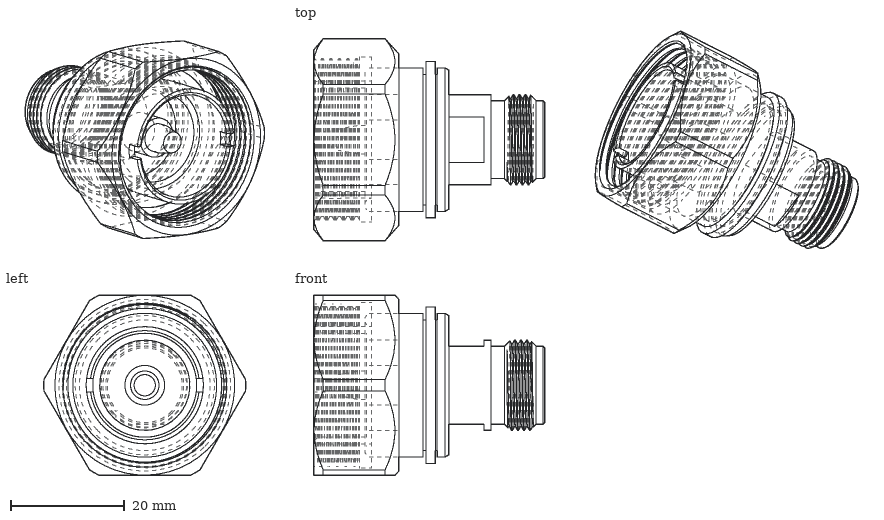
import cadquery as cq
import math


NUT_LENGTH = 15.0
NUT_ACROSS_FLATS = 31.75
NUT_CORNER_DIA = 35.55
NUT_FRONT_DIA = 31.6
NUT_FRONT_CHAMFER = 1.65
NUT_REAR_DIA = 30.2
NUT_REAR_CHAMFER = 2.45

NUT_THREAD_PITCH = 1.5
NUT_THREAD_MINOR_DIA = 27.05
NUT_THREAD_MAJOR_DIA = 28.6
NUT_THREAD_ROOT_FLAT = 0.2
NUT_GROOVE_START = -1.85
NUT_ENTRY_DIA = 28.85
NUT_ENTRY_DEPTH = 0.8
NUT_RELIEF_DIA = 29.05
NUT_RELIEF_START = 8.1
NUT_FLOOR = 10.15

BARREL_DIA = 25.3
BARREL_END = 23.77
BARREL_REAR_DIA = 24.5
BARREL_REAR_CHAMFER = 0.7
RING_GROOVE_DIA = 23.0
RING_GROOVE_START = 19.22
RING_GROOVE_END = 21.7
RING_DIA = 27.55
RING_START = 19.7
RING_END = 21.38

SLEEVE_DIA = 20.6
SLEEVE_FRONT = 0.3
SLEEVE_BORE_DIA = 18.3
SLEEVE_LIP_DIA = 19.22
SLEEVE_BORE_END = 9.25
SLOT_WIDTH = 2.3
SLOT_DEPTH = 2.45
CAVITY_DIA = 15.85
CAVITY_END = 15.0

PIN_TIP = 4.35
PIN_TIP_DIA = 3.75
PIN_DIA = 5.0
PIN_TAPER_END = 7.72
PIN_SHOULDER_DIA = 7.0
PIN_SHOULDER = SLEEVE_BORE_END

NECK_DIA = 15.9
NECK_END = 31.2
NECK_FLAT_END = 29.9
TAIL_DIA = 13.75
NECK_ACROSS_FLATS = TAIL_DIA
TAIL_END = 40.65
TAIL_END_CHAMFER = 0.3

TAIL_THREAD_PITCH = 1.05
TAIL_THREAD_DIA = NECK_DIA
TAIL_THREAD_ROOT_DIA = 14.7
TAIL_THREAD_CREST_FLAT = 0.15
TAIL_THREAD_START = 33.53
TAIL_THREAD_END = 39.15
TAIL_GROOVE_START = 33.3

THREAD_HALF_ANGLE = math.radians(30)
CUT_MARGIN = 0.1


def revolve_profile(points):
    """Revolve a closed (x, radius) outline about the X axis."""
    return cq.Workplane("XY").polyline(points).close().revolve(360, (0, 0), (1, 0))


def helical_cutter(root_dia, mouth_dia, root_width, pitch, start, end):
    """Right-hand helical ridge along X, used to cut a V-shaped thread groove."""
    root_radius = root_dia / 2
    mouth_radius = mouth_dia / 2
    flank_rise = abs(mouth_radius - root_radius) * math.tan(THREAD_HALF_ANGLE)
    half_root = root_width / 2
    half_mouth = half_root + flank_rise
    path = cq.Wire.makeHelix(pitch, end - start, root_radius)
    ridge = (
        cq.Workplane("XZ")
        .polyline([
            (root_radius, -half_root),
            (root_radius, half_root),
            (mouth_radius, half_mouth),
            (mouth_radius, -half_mouth),
        ])
        .close()
        .sweep(cq.Workplane(obj=path), isFrenet=True)
    )
    return ridge.rotate((0, 0, 0), (0, 1, 0), 90).translate((start, 0, 0))


def make_nut():
    """Hexagonal coupling nut with an internal thread and a rear bore for the barrel."""
    corner_radius = NUT_CORNER_DIA / 2
    hexagon = cq.Workplane("YZ").polygon(
        6, NUT_ACROSS_FLATS / math.cos(math.pi / 6)
    ).extrude(NUT_LENGTH)
    chamfered_envelope = revolve_profile([
        (0, 0),
        (0, NUT_FRONT_DIA / 2),
        (NUT_FRONT_CHAMFER, corner_radius),
        (NUT_LENGTH - NUT_REAR_CHAMFER, corner_radius),
        (NUT_LENGTH, NUT_REAR_DIA / 2),
        (NUT_LENGTH, 0),
    ])
    bore = cq.Workplane("YZ").circle(NUT_THREAD_MINOR_DIA / 2).extrude(NUT_FLOOR)
    thread_groove = helical_cutter(
        NUT_THREAD_MAJOR_DIA,
        NUT_THREAD_MINOR_DIA - 2 * CUT_MARGIN,
        NUT_THREAD_ROOT_FLAT,
        NUT_THREAD_PITCH,
        NUT_GROOVE_START,
        NUT_RELIEF_START + NUT_THREAD_PITCH / 4,
    )
    opening = revolve_profile([
        (0, 0),
        (0, NUT_ENTRY_DIA / 2),
        (NUT_ENTRY_DEPTH, NUT_THREAD_MINOR_DIA / 2),
        (NUT_RELIEF_START, NUT_THREAD_MINOR_DIA / 2),
        (NUT_RELIEF_START, NUT_RELIEF_DIA / 2),
        (NUT_FLOOR, NUT_RELIEF_DIA / 2),
        (NUT_FLOOR, BARREL_DIA / 2),
        (NUT_LENGTH, BARREL_DIA / 2),
        (NUT_LENGTH, 0),
    ])
    return hexagon.intersect(chamfered_envelope).cut(bore).cut(thread_groove).cut(opening)


def make_turned_outside():
    """Turned outside of the body, from the sleeve through the barrel to the threaded tail."""
    tail_radius = TAIL_DIA / 2
    neck_radius = NECK_DIA / 2
    barrel_radius = BARREL_DIA / 2
    thread_radius = TAIL_THREAD_DIA / 2
    thread_chamfer = thread_radius - tail_radius
    return revolve_profile([
        (SLEEVE_FRONT, 0),
        (SLEEVE_FRONT, SLEEVE_DIA / 2),
        (NUT_FLOOR, SLEEVE_DIA / 2),
        (NUT_FLOOR, barrel_radius),
        (RING_GROOVE_START, barrel_radius),
        (RING_GROOVE_START, RING_GROOVE_DIA / 2),
        (RING_START, RING_GROOVE_DIA / 2),
        (RING_START, RING_DIA / 2),
        (RING_END, RING_DIA / 2),
        (RING_END, RING_GROOVE_DIA / 2),
        (RING_GROOVE_END, RING_GROOVE_DIA / 2),
        (RING_GROOVE_END, barrel_radius),
        (BARREL_END - BARREL_REAR_CHAMFER, barrel_radius),
        (BARREL_END, BARREL_REAR_DIA / 2),
        (BARREL_END, neck_radius),
        (NECK_END, neck_radius),
        (NECK_END, tail_radius),
        (TAIL_THREAD_START, tail_radius),
        (TAIL_THREAD_START + thread_chamfer, thread_radius),
        (TAIL_THREAD_END - thread_chamfer, thread_radius),
        (TAIL_THREAD_END, tail_radius),
        (TAIL_END - TAIL_END_CHAMFER, tail_radius),
        (TAIL_END, tail_radius - TAIL_END_CHAMFER),
        (TAIL_END, 0),
    ])


def make_sealing_bead():
    """Half-round ring that stands on the barrel's front face around the sleeve."""
    inner_radius = SLEEVE_DIA / 2
    outer_radius = BARREL_DIA / 2
    bead_radius = (outer_radius - inner_radius) / 2
    return (
        cq.Workplane("XY")
        .moveTo(NUT_FLOOR, inner_radius)
        .threePointArc(
            (NUT_FLOOR - bead_radius, inner_radius + bead_radius),
            (NUT_FLOOR, outer_radius),
        )
        .close()
        .revolve(360, (0, 0), (1, 0))
    )


def make_front_opening():
    """Space inside the sleeve, left open around the stepped and tapered centre pin."""
    return revolve_profile([
        (SLEEVE_FRONT, 0),
        (SLEEVE_FRONT, SLEEVE_LIP_DIA / 2),
        (SLEEVE_FRONT + (SLEEVE_LIP_DIA - SLEEVE_BORE_DIA) / 2, SLEEVE_BORE_DIA / 2),
        (SLEEVE_BORE_END, SLEEVE_BORE_DIA / 2),
        (SLEEVE_BORE_END, CAVITY_DIA / 2),
        (CAVITY_END, CAVITY_DIA / 2),
        (CAVITY_END, PIN_SHOULDER_DIA / 2),
        (PIN_SHOULDER, PIN_SHOULDER_DIA / 2),
        (PIN_SHOULDER, PIN_DIA / 2),
        (PIN_TAPER_END, PIN_DIA / 2),
        (PIN_TIP, PIN_TIP_DIA / 2),
        (PIN_TIP, 0),
    ])


def make_sleeve_slots():
    """One bar across the sleeve mouth, which opens a slot on each Y side."""
    return cq.Workplane("XY").box(
        SLOT_DEPTH, SLEEVE_DIA, SLOT_WIDTH, centered=(False, True, True)
    ).translate((SLEEVE_FRONT, 0, 0))


def make_neck_flats():
    """Blocks that cut the two wrench flats on the top and bottom of the neck."""
    flats = cq.Workplane("XY")
    for side in (1, -1):
        block = cq.Workplane("XY").box(
            NECK_FLAT_END - BARREL_END, NECK_DIA, NECK_DIA, centered=(False, True, True)
        )
        offset = (NECK_ACROSS_FLATS + NECK_DIA) / 2
        flats = flats.add(block.translate((BARREL_END, 0, side * offset)))
    return flats.combine()


def make_tail_thread_groove():
    """Helical groove that cuts the external thread."""
    groove_depth = (TAIL_THREAD_DIA - TAIL_THREAD_ROOT_DIA) / 2
    mouth_width = TAIL_THREAD_PITCH - TAIL_THREAD_CREST_FLAT
    root_width = mouth_width - 2 * groove_depth * math.tan(THREAD_HALF_ANGLE)
    return helical_cutter(
        TAIL_THREAD_ROOT_DIA,
        TAIL_THREAD_DIA + 2 * CUT_MARGIN,
        root_width,
        TAIL_THREAD_PITCH,
        TAIL_GROOVE_START,
        TAIL_THREAD_END,
    )


def make_body():
    """Connector body: sleeve, pin, barrel, ring, neck and threaded tail in one piece."""
    return (
        make_turned_outside()
        .union(make_sealing_bead())
        .cut(make_front_opening())
        .cut(make_sleeve_slots())
        .cut(make_neck_flats())
        .cut(make_tail_thread_groove())
    )


nut = make_nut()
body = make_body()

result = cq.Compound.makeCompound([nut.solids().val(), body.solids().val()])